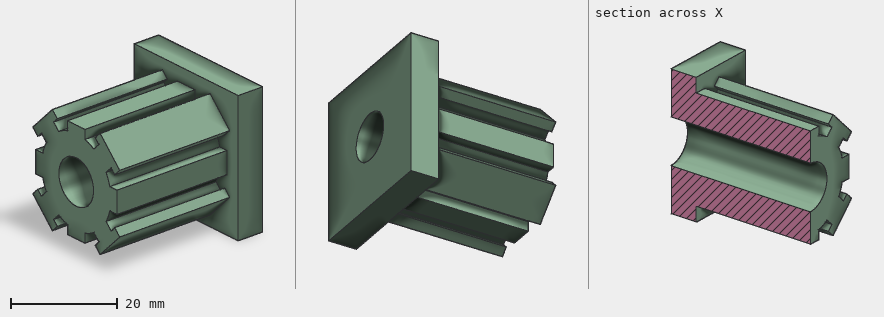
import cadquery as cq

total_length = 33.0
head_side = 30.0
head_thickness = 6.0
bore_diameter = 10.0
core_diameter = 20.0

rib_width = 5.0
rib_reach = 11.75

tee_stem_width = 5.0
tee_cap_width = 8.0
tee_cap_thickness = 2.0
tee_reach = 13.73

shank_length = total_length - head_thickness
rib_angles = (0, 90, 180, 270)
tee_angles = (45, 135, 225, 315)


def shank_bar(inner, outer, width, angle):
    """Bar along the shank, between two distances from the axis, turned about Y."""
    bar = (
        cq.Workplane("XZ")
        .center((inner + outer) / 2, 0)
        .rect(outer - inner, width)
        .extrude(shank_length)
    )
    return bar.rotate((0, 0, 0), (0, 1, 0), angle)


head = cq.Workplane("XZ").rect(head_side, head_side).extrude(-head_thickness)
body = head.union(cq.Workplane("XZ").circle(core_diameter / 2).extrude(shank_length))

for angle in rib_angles:
    body = body.union(shank_bar(0, rib_reach, rib_width, angle))

for angle in tee_angles:
    stem = shank_bar(0, tee_reach, tee_stem_width, angle)
    cap = shank_bar(tee_reach - tee_cap_thickness, tee_reach, tee_cap_width, angle)
    body = body.union(stem).union(cap)

bore = (
    cq.Workplane("XZ", origin=(0, head_thickness, 0))
    .circle(bore_diameter / 2)
    .extrude(total_length)
)
result = body.cut(bore)